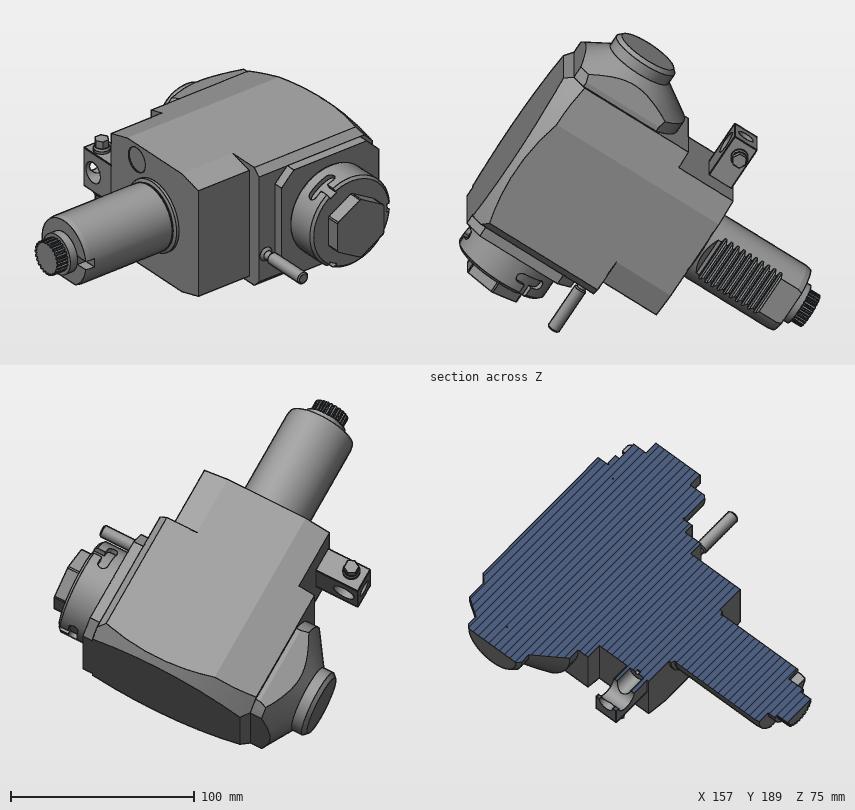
import cadquery as cq
import math

SPINDLE_Y = 80.0
BACK_Y = 114.0
OVERALL_LENGTH = 189.0

OVERALL_HEIGHT = 75.0
HALF_HEIGHT = OVERALL_HEIGHT / 2
HEAD_FRONT_Y = 35.3
HEAD_LEFT_X = -48.4
HEAD_RIGHT_X = 47.2
FOOT_HALF_WIDTH = 38.7
SLOPE_START_X = 24.2
SLOPE_ANGLE = 15
HEAD_CHAMFER = 4.2
BACK_ARC_RADIUS = 119.0
BACK_ARC_CENTRE_X = 9.8
BACK_ARC_TOP_Z = 33.6
PLUG_X = -15.9
PLUG_Z = 27.5
PLUG_RADIUS = 7.5
PLUG_DEPTH = 0.8

COVER_HALF = 33.5
COVER_CORNER = 8.5
COVER_END_X = 53.1
NUT_RADIUS = 27.5
NUT_CHAMFER = 1.5
NUT_END_X = 72.2
RELIEF_RADIUS = 26.8
RELIEF_END_X = 53.7
SLOT_COUNT = 3
FIRST_SLOT_ANGLE = 30
SLOT_WIDTH = 5.7
SLOT_LENGTH = 18.5
SLOT_MID_X = 63.0
SLOT_DEPTH = 2.8
SLOT_MOUTH_WIDTH = 5.0
HEX_FLATS = 32.0
HEX_CORNER_RADIUS = 18.1
RIGHT_END_X = 80.5

NOSE_TIP_X = -76.5
NOSE_TIP_RADIUS = 19.0
NOSE_TIP_CHAMFER = 2.3
CONE_START_X = -68.0
CONE_END_X = -55.4
NOSE_RADIUS = 37.6
NOSE_BACK_Y = 109.8
NOSE_HALF_HEIGHT = 29.3
NOSE_SLOPE_X = -51.2
NOSE_SLOPE_RATIO = 0.27

SHANK_RADIUS = 20.0
SHANK_END_Y = -63.0
SHANK_CHAMFER_LENGTH = 2.8
SHANK_CHAMFER = 0.5
COLLAR_DIAMETER = 43.3
COLLAR_RADIUS = COLLAR_DIAMETER / 2
COLLAR_LENGTH = 1.7
NECK_RADIUS = 19.7
NECK_START_Y = -2.5
NECK_END_Y = -3.4
RACK_FLAT_Z = -16.6
RACK_START_Y = -4.7
GROOVE_PITCH = 4.0
GROOVE_DEPTH = 1.9
GROOVE_COUNT = 10
GROOVE_ROOT_WIDTH = 1.1
FIRST_GROOVE_Y = -11.7
KEYWAY_WIDTH = 5.3
KEYWAY_DEPTH = 5.7
DRIVE_RADIUS = 12.1
DRIVE_END_Y = -67.9
SPLINE_RADIUS = 10.0
SPLINE_ROOT_RADIUS = 9.0
SPLINE_COUNT = 24
SPLINE_TIP_SHARE = 0.4
SPLINE_ROOT_SHARE = 0.7
SPLINE_END_Y = BACK_Y - OVERALL_LENGTH

BLOCK_LEFT_X = -64.8
BLOCK_FRONT_Y = 1.1
BLOCK_DEPTH = 14.7
BLOCK_MID_Y = BLOCK_FRONT_Y + BLOCK_DEPTH / 2
BLOCK_HALF_HEIGHT = 12.3
BLOCK_CHAMFER = 0.4
BORE_X = -56.1
BORE_RADIUS = 6.5
SIDE_HOLE_RADIUS = 4.7
PILOT_RADIUS = 1.1
PILOT_DEPTH = 1.9
SCREW_Y = 7.2
SCREW_SEAT_RADIUS = 4.7
SCREW_RIM_HEIGHT = 1.5
SCREW_SEAT_HEIGHT = 2.8
SCREW_HEX_CORNERS = 8.1
SCREW_TOP_Z = 19.7

PIPE_Y = 40.3
PIPE_Z = -17.4
PIPE_DIAMETER = 7.0
PIPE_RADIUS = PIPE_DIAMETER / 2
PIPE_START_X = 53.1
PIPE_NECK_RADIUS = 2.6
PIPE_FOOT_RADIUS = 4.2
PIPE_CHAMFER = 0.8


def box(x0, x1, y0, y1, z0, z1):
    return cq.Workplane("XY").box(x1 - x0, y1 - y0, z1 - z0, centered=False).translate((x0, y0, z0))


def prism_along_y(points, y0, y1):
    """Extrude an (x, z) outline from y0 to y1."""
    return cq.Workplane("XZ", origin=(0, y0, 0)).polyline(points).close().extrude(y0 - y1)


def prism_along_x(points, x0, x1):
    """Extrude a (y, z) outline from x0 to x1."""
    return cq.Workplane("YZ", origin=(x0, 0, 0)).polyline(points).close().extrude(x1 - x0)


def turned_along_x(profile, y, z=0):
    """Revolve an (x, radius) profile about an axis parallel to X."""
    return cq.Workplane("XY").polyline(profile).close().revolve(360, (0, 0), (1, 0)).translate((0, y, z))


def turned_along_y(profile):
    """Revolve a (radius, y) profile about the Y axis."""
    return cq.Workplane("XY").polyline(profile).close().revolve(360, (0, 0), (0, 1))


def mirrored_outline(upper):
    """Close an upper (x, z) outline with its mirror image below z = 0."""
    return upper + [(x, -z) for x, z in reversed(upper)]


def sloped_height(x):
    return HALF_HEIGHT - math.tan(math.radians(SLOPE_ANGLE)) * (abs(x) - SLOPE_START_X)


def make_housing():
    head = prism_along_y(mirrored_outline([
        (HEAD_LEFT_X, sloped_height(HEAD_LEFT_X)),
        (-SLOPE_START_X, HALF_HEIGHT),
        (HEAD_RIGHT_X - HEAD_CHAMFER, HALF_HEIGHT),
        (HEAD_RIGHT_X, HALF_HEIGHT - HEAD_CHAMFER),
    ]), HEAD_FRONT_Y, BACK_Y)
    head = head.edges("<X and >Y").chamfer(HEAD_CHAMFER)

    front_radius = BACK_ARC_RADIUS + BACK_Y - HEAD_FRONT_Y
    bevel = turned_along_y([
        (0, BACK_Y), (BACK_ARC_RADIUS, BACK_Y), (front_radius, HEAD_FRONT_Y), (0, HEAD_FRONT_Y),
    ])
    drop = BACK_ARC_RADIUS - BACK_ARC_TOP_Z
    for side in (-1, 1):
        head = head.intersect(bevel.translate((BACK_ARC_CENTRE_X, 0, side * drop)))

    foot = prism_along_y(mirrored_outline([
        (-FOOT_HALF_WIDTH, sloped_height(FOOT_HALF_WIDTH)),
        (-SLOPE_START_X, HALF_HEIGHT),
        (SLOPE_START_X, HALF_HEIGHT),
        (FOOT_HALF_WIDTH, sloped_height(FOOT_HALF_WIDTH)),
    ]), 0, HEAD_FRONT_Y)
    plug_recess = (
        cq.Workplane("XZ", origin=(PLUG_X, 0, PLUG_Z)).circle(PLUG_RADIUS).extrude(-PLUG_DEPTH)
    )
    pilot = cq.Workplane("YZ", origin=(-FOOT_HALF_WIDTH, BLOCK_MID_Y, 0)).circle(PILOT_RADIUS)
    return head.union(foot).cut(plug_recess).cut(pilot.extrude(PILOT_DEPTH))


def make_cover():
    front_y = SPINDLE_Y - COVER_HALF
    plate = box(HEAD_RIGHT_X, COVER_END_X, front_y, BACK_Y, -COVER_HALF, COVER_HALF)
    return plate.edges("|X").chamfer(COVER_CORNER)


def make_nut_slot():
    """Circumferential slot with an axial mouth, its floor concentric with the nut."""
    cutter_top = NUT_RADIUS + SLOT_DEPTH
    half_mouth = SLOT_MOUTH_WIDTH / 2
    slot = cq.Workplane("XY", origin=(SLOT_MID_X, 0, 0)).slot2D(SLOT_LENGTH, SLOT_WIDTH, 90)
    mouth = box(SLOT_MID_X, NUT_END_X, -half_mouth, half_mouth, 0, cutter_top)
    core = cq.Workplane("YZ", origin=(COVER_END_X, 0, 0)).circle(NUT_RADIUS - SLOT_DEPTH)
    return slot.extrude(cutter_top).union(mouth).cut(core.extrude(NUT_END_X - COVER_END_X))


def make_nut():
    nut = turned_along_x([
        (COVER_END_X, 0), (COVER_END_X, RELIEF_RADIUS), (RELIEF_END_X, RELIEF_RADIUS),
        (RELIEF_END_X, NUT_RADIUS), (NUT_END_X - NUT_CHAMFER, NUT_RADIUS),
        (NUT_END_X, NUT_RADIUS - NUT_CHAMFER), (NUT_END_X, 0),
    ], SPINDLE_Y)
    for i in range(SLOT_COUNT):
        slot = make_nut_slot().rotate((0, 0, 0), (1, 0, 0), FIRST_SLOT_ANGLE + i * 360 / SLOT_COUNT)
        nut = nut.cut(slot.translate((0, SPINDLE_Y, 0)))
    hexagon = cq.Workplane("YZ", origin=(NUT_END_X, SPINDLE_Y, 0))
    hexagon = hexagon.transformed(rotate=(0, 0, 90)).polygon(6, HEX_FLATS / math.cos(math.pi / 6))
    hexagon = hexagon.extrude(RIGHT_END_X - NUT_END_X)
    corner_limit = cq.Workplane("YZ", origin=(NUT_END_X, SPINDLE_Y, 0)).circle(HEX_CORNER_RADIUS)
    corner_limit = corner_limit.extrude(RIGHT_END_X - NUT_END_X)
    return nut.union(hexagon.intersect(corner_limit))


def make_nose():
    nose = turned_along_x([
        (NOSE_TIP_X, 0), (NOSE_TIP_X, NOSE_TIP_RADIUS - NOSE_TIP_CHAMFER),
        (NOSE_TIP_X + NOSE_TIP_CHAMFER, NOSE_TIP_RADIUS), (CONE_START_X, NOSE_TIP_RADIUS),
        (CONE_END_X, NOSE_RADIUS), (HEAD_LEFT_X, NOSE_RADIUS), (HEAD_LEFT_X, 0),
    ], SPINDLE_Y)
    tip_height = NOSE_HALF_HEIGHT - NOSE_SLOPE_RATIO * (NOSE_SLOPE_X - NOSE_TIP_X)
    envelope = mirrored_outline([
        (NOSE_TIP_X, tip_height), (NOSE_SLOPE_X, NOSE_HALF_HEIGHT), (HEAD_LEFT_X, NOSE_HALF_HEIGHT),
    ])
    return nose.intersect(prism_along_y(envelope, SPINDLE_Y - NOSE_RADIUS, NOSE_BACK_Y))


def make_rack_cut():
    """Flat with a 45 degree run-in and cross grooves along the underside of the shank."""
    depth = SHANK_RADIUS + RACK_FLAT_Z
    bottom = -SHANK_RADIUS
    cut = prism_along_x([
        (RACK_START_Y, bottom), (RACK_START_Y - depth, RACK_FLAT_Z),
        (SHANK_END_Y, RACK_FLAT_Z), (SHANK_END_Y, bottom),
    ], -SHANK_RADIUS, SHANK_RADIUS)
    root = RACK_FLAT_Z + GROOVE_DEPTH
    half_root = GROOVE_ROOT_WIDTH / 2
    half_mouth = half_root + GROOVE_DEPTH / 2
    for i in range(GROOVE_COUNT):
        y = FIRST_GROOVE_Y - i * GROOVE_PITCH
        groove = prism_along_x([
            (y - half_mouth, RACK_FLAT_Z), (y - half_root, root),
            (y + half_root, root), (y + half_mouth, RACK_FLAT_Z),
        ], -SHANK_RADIUS, SHANK_RADIUS)
        cut = cut.union(groove)
    return cut


def make_spline():
    """Drive spline with straight-sided teeth, narrower at the tip than at the root."""
    points = []
    step = 2 * math.pi / SPLINE_COUNT
    root_edge = SPLINE_ROOT_SHARE / 2
    tip_edge = SPLINE_TIP_SHARE / 2
    for i in range(SPLINE_COUNT):
        for fraction, radius in (
            (-root_edge, SPLINE_ROOT_RADIUS), (-tip_edge, SPLINE_RADIUS),
            (tip_edge, SPLINE_RADIUS), (root_edge, SPLINE_ROOT_RADIUS),
        ):
            angle = (i + fraction) * step
            points.append((radius * math.cos(angle), radius * math.sin(angle)))
    return prism_along_y(points, SPLINE_END_Y, DRIVE_END_Y)


def make_shank():
    shank = turned_along_y([
        (0, 0), (COLLAR_RADIUS, 0), (COLLAR_RADIUS, -COLLAR_LENGTH),
        (NECK_RADIUS, NECK_START_Y), (NECK_RADIUS, NECK_END_Y), (SHANK_RADIUS, NECK_END_Y),
        (SHANK_RADIUS, SHANK_END_Y + SHANK_CHAMFER_LENGTH),
        (SHANK_RADIUS - SHANK_CHAMFER, SHANK_END_Y), (0, SHANK_END_Y),
    ])
    shank = shank.cut(make_rack_cut())
    half_key = KEYWAY_WIDTH / 2
    keyway = box(
        DRIVE_RADIUS, SHANK_RADIUS, SHANK_END_Y, SHANK_END_Y + KEYWAY_DEPTH, -half_key, half_key
    )
    drive = turned_along_y([
        (0, SHANK_END_Y + KEYWAY_DEPTH), (DRIVE_RADIUS, SHANK_END_Y + KEYWAY_DEPTH),
        (DRIVE_RADIUS, DRIVE_END_Y), (0, DRIVE_END_Y),
    ])
    return shank.cut(keyway).union(drive).union(make_spline())


def make_screw():
    """Hexagon head on a conical seat, standing on the top of the coolant block."""
    seat = cq.Workplane("XY").circle(SCREW_SEAT_RADIUS).extrude(SCREW_SEAT_HEIGHT)
    rim_bevel = SCREW_SEAT_HEIGHT - SCREW_RIM_HEIGHT
    seat = seat.faces(">Z").chamfer(rim_bevel, SCREW_SEAT_RADIUS - SCREW_HEX_CORNERS / 2)
    head = cq.Workplane("XY").transformed(rotate=(0, 0, 90)).polygon(6, SCREW_HEX_CORNERS)
    head = head.extrude(SCREW_TOP_Z - BLOCK_HALF_HEIGHT)
    return seat.union(head).translate((BORE_X, SCREW_Y, BLOCK_HALF_HEIGHT))


def make_coolant_block():
    back_y = BLOCK_FRONT_Y + BLOCK_DEPTH
    block = box(
        BLOCK_LEFT_X, -FOOT_HALF_WIDTH, BLOCK_FRONT_Y, back_y, -BLOCK_HALF_HEIGHT, BLOCK_HALF_HEIGHT
    )
    block = block.edges("|X or <X").chamfer(BLOCK_CHAMFER)
    bore = cq.Workplane("XZ", origin=(BORE_X, BLOCK_FRONT_Y, 0)).circle(BORE_RADIUS).extrude(-BLOCK_DEPTH)
    side_hole = cq.Workplane("YZ", origin=(BLOCK_LEFT_X, BLOCK_MID_Y, 0)).circle(SIDE_HOLE_RADIUS)
    side_hole = side_hole.extrude(-FOOT_HALF_WIDTH - BLOCK_LEFT_X)
    screw = make_screw()
    block = block.cut(bore).cut(side_hole)
    return block.union(screw).union(screw.mirror("XY"))


def make_pipe():
    return turned_along_x([
        (HEAD_RIGHT_X, 0), (HEAD_RIGHT_X, PIPE_FOOT_RADIUS),
        (HEAD_RIGHT_X + PIPE_FOOT_RADIUS - PIPE_NECK_RADIUS, PIPE_NECK_RADIUS),
        (PIPE_START_X - PIPE_CHAMFER, PIPE_NECK_RADIUS), (PIPE_START_X, PIPE_RADIUS),
        (RIGHT_END_X - PIPE_CHAMFER, PIPE_RADIUS),
        (RIGHT_END_X, PIPE_RADIUS - PIPE_CHAMFER), (RIGHT_END_X, 0),
    ], PIPE_Y, PIPE_Z)


result = make_housing()
for piece in (
    make_cover(), make_nut(), make_nose(), make_shank(), make_coolant_block(), make_pipe(),
):
    result = result.union(piece)